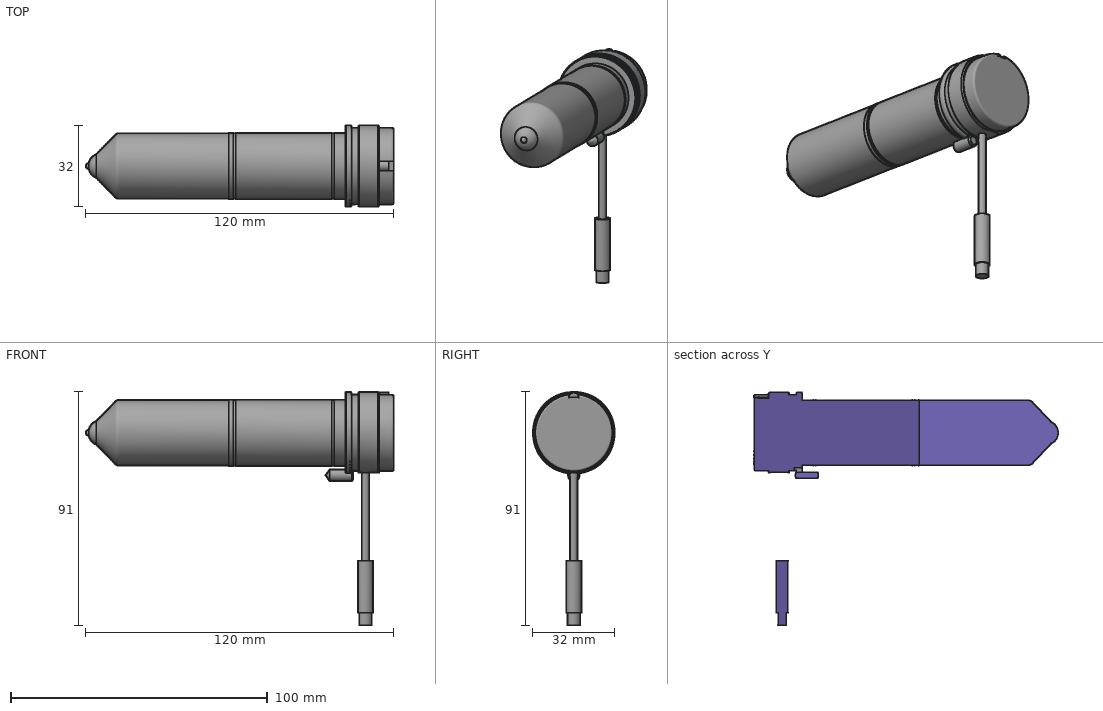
import cadquery as cq
import math


sleeve_radius = 12.8
sleeve_end = 55.7
tip_ball_radius = 1.2
dome_apex = 1.0
dome_radius = 5.0
dome_middle_angle = 35
cone_start_radius = 4.7
shoulder_start = 11.5
shoulder_end = 13.2
shoulder_start_radius = 12.2

barrel_radius = 13.0
groove_starts = (57.4, 95.9)
groove_width = 1.0
groove_depth = 0.1

flange_start = 101.0
flange_end = 103.5
collar_start = 106.2
collar_end = 114.4
tail_end = 120.0
collar_radius = 16.0
tail_radius = 15.0
flange_front_chamfer = 0.4
flange_rear_fillet = 0.7
collar_front_chamfer = 0.4
collar_rear_chamfer = 0.6
tail_fillet = 0.8
collar_flat_height = -15.5

key_end = 118.1
key_top = 15.7
key_radius = 1.9
key_height = key_top - key_radius

locator_tip = 93.4
locator_nose = 1.7
locator_end = 104.2
locator_radius = 2.3
locator_height = -16.5
locator_end_chamfer = 0.6
notch_width = 5.5
notch_roof = -13.7

cable_x = 109.0
cable_diameter = 3.0
plug_top = -49.8
plug_shoulder = -70.2
plug_bottom = -75.0
plug_radius = 3.0
plug_end_radius = 2.5


def revolve_about_x(profile):
    """Revolve a closed XY profile about the X axis."""
    return profile.close().revolve(360, (0, 0, 0), (1, 0, 0))


def x_cylinder(radius, start, end, height):
    """Cylinder parallel to X, in the XZ plane at the given height."""
    return cq.Workplane("YZ", origin=(start, 0, height)).circle(radius).extrude(end - start)


def box_between(start, end, width, bottom, top):
    """Box centred on Y = 0 between two X positions and two heights."""
    return cq.Workplane("XY", origin=((start + end) / 2, 0, bottom)).box(
        end - start, width, top - bottom, centered=(True, True, False)
    )


def make_sleeve():
    """Front sleeve with a ball tip, domed nose, cone and rounded shoulder."""
    dome_centre = dome_apex + dome_radius
    dome_base = dome_centre - math.sqrt(dome_radius**2 - cone_start_radius**2)
    dome_middle = (
        dome_centre - dome_radius * math.cos(math.radians(dome_middle_angle)),
        dome_radius * math.sin(math.radians(dome_middle_angle)),
    )
    nose = revolve_about_x(
        cq.Workplane("XY")
        .moveTo(dome_apex, 0)
        .threePointArc(dome_middle, (dome_base, cone_start_radius))
        .lineTo(shoulder_start, shoulder_start_radius)
        .tangentArcPoint((shoulder_end, sleeve_radius), relative=False)
        .lineTo(sleeve_end, sleeve_radius)
        .lineTo(sleeve_end, 0)
    )
    ball = cq.Workplane("XY").sphere(tip_ball_radius).translate((tip_ball_radius, 0, 0))
    return nose.union(ball)


def make_barrel():
    """Rear barrel with two shallow rings grooved around it."""
    barrel = x_cylinder(barrel_radius, sleeve_end, flange_start, 0)
    for groove_start in groove_starts:
        groove_end = groove_start + groove_width
        outer = x_cylinder(collar_radius, groove_start, groove_end, 0)
        core = x_cylinder(barrel_radius - groove_depth, groove_start, groove_end, 0)
        barrel = barrel.cut(outer.cut(core))
    return barrel


def make_flange():
    flange = x_cylinder(collar_radius, flange_start, flange_end, 0)
    flange = flange.faces("<X").chamfer(flange_front_chamfer)
    return flange.faces(">X").edges().fillet(flange_rear_fillet)


def make_collar():
    """Collar with chamfered rims and a flat underneath for the cable."""
    collar = x_cylinder(collar_radius, collar_start, collar_end, 0)
    collar = collar.faces("<X").chamfer(collar_front_chamfer)
    collar = collar.faces(">X").chamfer(collar_rear_chamfer)
    below_flat = box_between(
        collar_start, collar_end, 2 * collar_radius, -collar_radius, collar_flat_height
    )
    return collar.cut(below_flat)


def make_tail():
    """Core that runs from the flange through the collar to the rear end."""
    tail = x_cylinder(tail_radius, flange_end, tail_end, 0)
    return tail.faces(">X").edges().fillet(tail_fillet)


def make_housing():
    housing = make_barrel().union(make_flange()).union(make_tail()).union(make_collar())
    key_slot = box_between(collar_end, tail_end, 2 * key_radius, key_height, collar_radius).union(
        x_cylinder(key_radius, collar_end, key_end, key_height)
    )
    flange_notch = box_between(flange_start, locator_end, notch_width, -collar_radius, notch_roof)
    return housing.cut(key_slot).cut(flange_notch)


def make_key_pin():
    return x_cylinder(key_radius, collar_end, key_end, key_height)


def make_locating_pin():
    """Pin with a conical nose, ending against the back of the flange notch."""
    nose_base = locator_tip + locator_nose
    profile = (
        cq.Workplane("XY")
        .moveTo(locator_tip, 0)
        .lineTo(nose_base, locator_radius)
        .lineTo(locator_end - locator_end_chamfer, locator_radius)
        .lineTo(locator_end, locator_radius - locator_end_chamfer)
        .lineTo(locator_end, 0)
    )
    return revolve_about_x(profile).translate((0, 0, locator_height))


def make_cable():
    """Cable hanging from the collar flat, with a stepped plug at its lower end."""

    def section(radius, top, bottom):
        return cq.Workplane("XY", origin=(cable_x, 0, bottom)).circle(radius).extrude(top - bottom)

    return (
        section(cable_diameter / 2, collar_flat_height, plug_top)
        .union(section(plug_radius, plug_top, plug_shoulder))
        .union(section(plug_end_radius, plug_shoulder, plug_bottom))
    )


sleeve = make_sleeve()
housing = make_housing()
key_pin = make_key_pin()
locating_pin = make_locating_pin()
cable = make_cable()

result = cq.Compound.makeCompound(
    [sleeve.val(), housing.val(), key_pin.val(), locating_pin.val(), cable.val()]
)